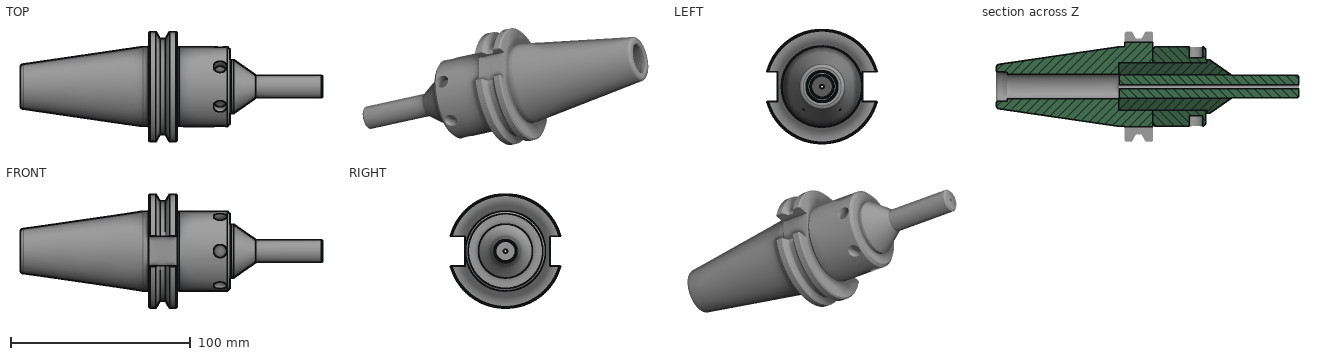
import cadquery as cq
import math


gauge_diameter = 44.45
taper_length = 68.25
taper_ratio = 7 / 24
taper_end_fillet = 2.0

flange_diameter = 63.5
flange_start = 3.18
flange_root_chamfer = 0.35
flange_end = 19.05
flange_rim_chamfer = 0.8
groove_center = 11.0
groove_floor_diameter = 56.0
groove_floor_width = 3.2
groove_floor_fillet = 0.4
groove_half_angle = 30
slot_width = 16.42
slot_mouth_chamfer = 0.37
front_slot_floor_y = -22.6
back_slot_floor_y = 24.8

drawbar_bore_diameter = 16.28
drawbar_bore_depth = 3.7
drawbar_cone_length = 0.9
drawbar_bore_chamfer = 0.7
pilot_bore_diameter = 15.88
pilot_bore_depth = 6.0
through_bore_diameter = 13.39

nut_diameter = gauge_diameter
nut_end = 48.4
nut_rear_chamfer = 1.1
nut_front_chamfer = 1.5
nut_lip_diameter = 30.0
nut_lip_height = 0.6
spanner_hole_count = 6
spanner_hole_diameter = 7.3
spanner_hole_depth = 6.0
spanner_hole_x = 42.9

collet_shank_diameter = 26.0
collet_collar_diameter = nut_lip_diameter
collet_rear = 0.0
collet_collar_end = 50.4
collet_end = 62.6
collet_tip_diameter = 13.39
collet_tip_chamfer = 0.34

tool_diameter = 12.7
tool_end = 100.0
tool_end_chamfer = 0.83
tool_rear_chamfer = 0.4
coolant_hole_diameter = 2.0


def revolve_about_x(points):
    """Revolve a closed (x, radius) outline about the X axis."""
    return cq.Workplane("XY").polyline(points).close().revolve(360, (0, 0, 0), (1, 0, 0))


def rod(x_start, x_end, diameter):
    """Plain cylinder along X."""
    return cq.Workplane("YZ", origin=(x_start, 0, 0)).circle(diameter / 2).extrude(x_end - x_start)


def make_taper():
    end_radius = (gauge_diameter - taper_length * taper_ratio) / 2
    taper = revolve_about_x([
        (-taper_length, 0),
        (-taper_length, end_radius),
        (0, gauge_diameter / 2),
        (flange_start - flange_root_chamfer, gauge_diameter / 2),
        (flange_start, gauge_diameter / 2 + flange_root_chamfer),
        (flange_start, 0),
    ])
    return taper.faces("<X").edges().fillet(taper_end_fillet)


def make_drive_slot(floor_y):
    """Cutter for one drive slot, flared at 45 degrees where it breaks through the rim."""
    rim_radius = flange_diameter / 2
    half_width = slot_width / 2
    side = math.copysign(1, floor_y)
    mouth_half_width = half_width + slot_mouth_chamfer
    mouth_y = math.sqrt(rim_radius ** 2 - mouth_half_width ** 2)
    flare_start_y = mouth_y - slot_mouth_chamfer
    flare_end_half_width = half_width + rim_radius - flare_start_y
    outline = [
        (floor_y, -half_width),
        (floor_y, half_width),
        (side * flare_start_y, half_width),
        (side * rim_radius, flare_end_half_width),
        (side * rim_radius, -flare_end_half_width),
        (side * flare_start_y, -half_width),
    ]
    plane = cq.Workplane("YZ", origin=(flange_start, 0, 0))
    return plane.polyline(outline).close().extrude(flange_end - flange_start)


def make_flange():
    flange = rod(flange_start, flange_end, flange_diameter)
    flange = flange.faces("<X or >X").edges().chamfer(flange_rim_chamfer)

    floor_radius = groove_floor_diameter / 2
    rim_radius = flange_diameter / 2
    floor_half = groove_floor_width / 2
    rim_half = floor_half + (rim_radius - floor_radius) * math.tan(math.radians(groove_half_angle))
    groove = revolve_about_x([
        (groove_center - floor_half, floor_radius),
        (groove_center + floor_half, floor_radius),
        (groove_center + rim_half, rim_radius),
        (groove_center - rim_half, rim_radius),
    ])
    groove = groove.edges(cq.selectors.RadiusNthSelector(0)).fillet(groove_floor_fillet)
    flange = flange.cut(groove)

    for floor_y in (front_slot_floor_y, back_slot_floor_y):
        flange = flange.cut(make_drive_slot(floor_y))
    return flange


def make_holder():
    holder = make_taper().union(make_flange())
    rear = -taper_length
    holder = holder.cut(rod(rear, collet_rear, through_bore_diameter))
    drawbar_radius = drawbar_bore_diameter / 2
    pilot_radius = pilot_bore_diameter / 2
    drawbar_bore = revolve_about_x([
        (rear, 0),
        (rear, drawbar_radius + drawbar_bore_chamfer),
        (rear + drawbar_bore_chamfer, drawbar_radius),
        (rear + drawbar_bore_depth, drawbar_radius),
        (rear + drawbar_bore_depth + drawbar_cone_length, pilot_radius),
        (rear + pilot_bore_depth, pilot_radius),
        (rear + pilot_bore_depth, 0),
    ])
    holder = holder.cut(drawbar_bore)
    return holder.cut(rod(collet_rear, flange_end, collet_shank_diameter))


def make_nut():
    nut = rod(flange_end, nut_end, nut_diameter)
    nut = nut.faces("<X").edges().chamfer(nut_rear_chamfer)
    nut = nut.faces(">X").edges().chamfer(nut_front_chamfer)
    nut = nut.union(rod(nut_end, nut_end + nut_lip_height, nut_lip_diameter))
    nut = nut.cut(rod(flange_end, nut_end + nut_lip_height, collet_shank_diameter))
    hole_floor_radius = nut_diameter / 2 - spanner_hole_depth
    hole = (
        cq.Workplane("XZ", origin=(spanner_hole_x, -hole_floor_radius, 0))
        .circle(spanner_hole_diameter / 2)
        .extrude(2 * spanner_hole_depth)
    )
    for index in range(spanner_hole_count):
        angle = index * 360 / spanner_hole_count
        nut = nut.cut(hole.rotate((0, 0, 0), (1, 0, 0), angle))
    return nut


def make_collet():
    collar_start = nut_end + nut_lip_height
    collet = revolve_about_x([
        (collet_rear, 0),
        (collet_rear, collet_shank_diameter / 2),
        (collar_start, collet_shank_diameter / 2),
        (collar_start, collet_collar_diameter / 2),
        (collet_collar_end, collet_collar_diameter / 2),
        (collet_end - collet_tip_chamfer, collet_tip_diameter / 2),
        (collet_end, collet_tip_diameter / 2 - collet_tip_chamfer),
        (collet_end, 0),
    ])
    return collet.cut(rod(collet_rear, collet_end, tool_diameter))


def make_tool():
    tool = rod(collet_rear, tool_end, tool_diameter)
    tool = tool.faces(">X").edges().chamfer(tool_end_chamfer)
    tool = tool.faces("<X").edges().chamfer(tool_rear_chamfer)
    return tool.cut(rod(collet_rear, tool_end, coolant_hole_diameter))


holder = make_holder()
nut = make_nut()
collet = make_collet()
tool = make_tool()

result = cq.Compound.makeCompound([holder.val(), nut.val(), collet.val(), tool.val()])